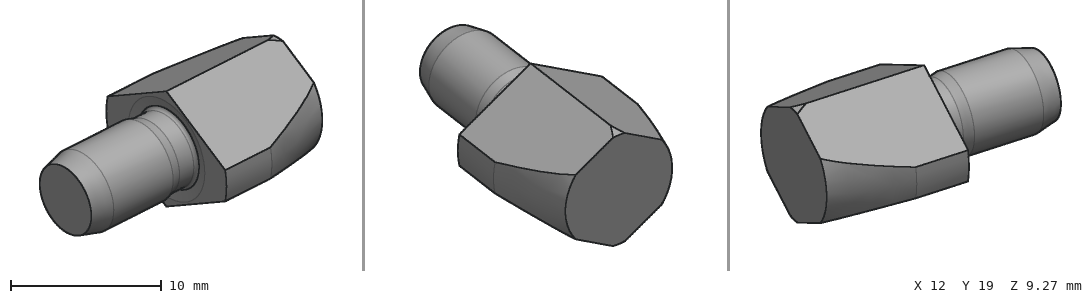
import cadquery as cq
import math

total_length = 19.0
head_length = 10.0
stud_length = total_length - head_length

head_height = 9.27
head_width = 11.97
diamond_angle = math.radians(30)
taper_angle = math.radians(15)
taper_length = 5.97

stud_radius = 6.0 / 2
neck_radius = 5.6 / 2
neck_length = 1.37
tip_length = 1.6
tip_radius = stud_radius - tip_length * math.tan(taper_angle)

recess_radius = 3.8
recess_angle = math.radians(15)
blend_radius = 0.3


def make_head():
    half_height = head_height / 2
    half_diagonal = half_height / math.tan(diamond_angle)
    diamond = (
        cq.Workplane("XZ")
        .polyline([(half_diagonal, 0), (0, half_height), (-half_diagonal, 0), (0, -half_height)])
        .close()
        .extrude(-head_length)
    )
    outer_radius = head_width / 2
    end_radius = outer_radius - taper_length * math.tan(taper_angle)
    envelope = (
        cq.Workplane("XY")
        .moveTo(0, 0)
        .lineTo(outer_radius, 0)
        .lineTo(outer_radius, head_length - taper_length)
        .lineTo(end_radius, head_length)
        .lineTo(0, head_length)
        .close()
        .revolve(360, (0, 0, 0), (0, 1, 0))
    )
    return diamond.intersect(envelope)


blend_center_radius = neck_radius + blend_radius
blend_end_radius = blend_center_radius - blend_radius * math.sin(recess_angle)
blend_end_y = (recess_radius - blend_end_radius) * math.tan(recess_angle)
blend_center_y = blend_end_y - blend_radius * math.cos(recess_angle)
blend_mid_angle = (math.pi / 2 - recess_angle) / 2
blend_mid = (
    blend_center_radius - blend_radius * math.cos(blend_mid_angle),
    blend_center_y + blend_radius * math.sin(blend_mid_angle),
)


def make_recess():
    return (
        cq.Workplane("XY")
        .moveTo(0, 0)
        .lineTo(recess_radius, 0)
        .lineTo(blend_end_radius, blend_end_y)
        .lineTo(0, blend_end_y)
        .close()
        .revolve(360, (0, 0, 0), (0, 1, 0))
    )


def make_stud():
    step_length = (stud_radius - neck_radius) / math.tan(taper_angle)
    tip_start_y = tip_length - stud_length
    return (
        cq.Workplane("XY")
        .moveTo(0, blend_end_y)
        .lineTo(blend_end_radius, blend_end_y)
        .threePointArc(blend_mid, (neck_radius, blend_center_y))
        .lineTo(neck_radius, -neck_length)
        .lineTo(stud_radius, -neck_length - step_length)
        .lineTo(stud_radius, tip_start_y)
        .lineTo(tip_radius, -stud_length)
        .lineTo(0, -stud_length)
        .close()
        .revolve(360, (0, 0, 0), (0, 1, 0))
    )


result = make_head().cut(make_recess()).union(make_stud())